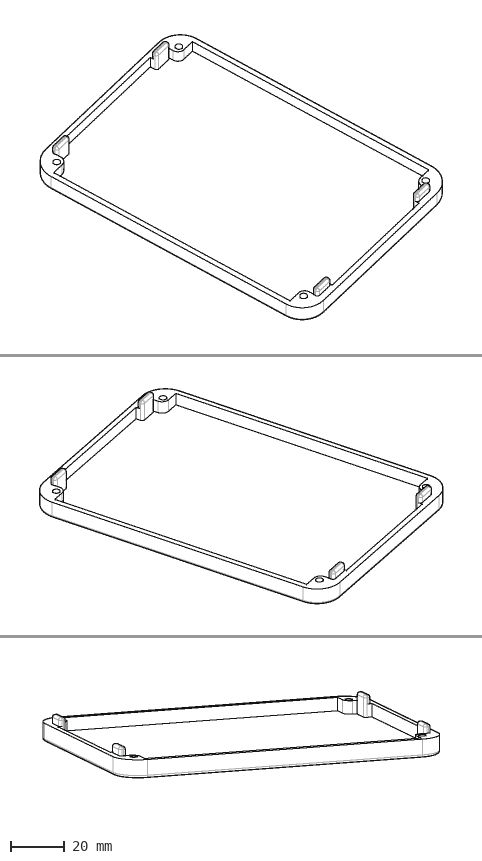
import cadquery as cq

length = 130.0
width = 90.0
rim_height = 7.0
corner_radius = 10.0
wall = 2.2
floor = 2.0
bottom_fillet = 1.0

post_length = 9.8
post_width = 10.3
post_radius = 2.9
hole_inset = 7.3
hole_diameter = 2.9

total_height = 10.4
tab_thickness = 2.6
tab_wall_gap = 0.5
tab_length = 8.0
tab_end_inset = 10.1
tab_fillet = 1.0

SIDES = (-1, 1)


def make_tray():
    """Rounded plate with a filleted lower edge and a rectangular pocket."""
    body = cq.Workplane("XY").rect(length, width).extrude(rim_height)
    body = body.edges("|Z").fillet(corner_radius)
    body = body.faces("<Z").edges().fillet(bottom_fillet)
    return body.cut(make_pocket())


def make_pocket():
    """Cavity inside the walls, leaving a rounded solid post in each corner."""
    depth = rim_height - floor
    pocket = (
        cq.Workplane("XY", origin=(0, 0, floor))
        .rect(length - 2 * wall, width - 2 * wall)
        .extrude(depth)
    )
    for x_side in SIDES:
        for y_side in SIDES:
            post = (
                cq.Workplane("XY", origin=(0, 0, floor))
                .center(x_side * (length - post_length) / 2, y_side * (width - post_width) / 2)
                .rect(post_length, post_width)
                .extrude(depth)
            )
            x_pick = ">X" if x_side < 0 else "<X"
            y_pick = ">Y" if y_side < 0 else "<Y"
            post = post.faces(x_pick).edges("|Z").edges(y_pick).fillet(post_radius)
            pocket = pocket.cut(post)
    return pocket


def make_tab(x_side, y_side):
    """Rounded upright tab beside a post, joined to the short wall by a root up to the rim."""
    x_center = x_side * (length / 2 - wall - tab_wall_gap - tab_thickness / 2)
    y_center = y_side * (width / 2 - tab_end_inset - tab_length / 2)
    tab_base = floor / 2
    tab = (
        cq.Workplane("XY", origin=(x_center, y_center, tab_base))
        .rect(tab_thickness, tab_length)
        .extrude(total_height - tab_base)
    )
    tab = tab.edges("|Z or >Z").fillet(tab_fillet)

    root_thickness = tab_thickness / 2 + tab_wall_gap + wall / 2
    root = (
        cq.Workplane("XY", origin=(x_center + x_side * root_thickness / 2, y_center, floor))
        .rect(root_thickness, tab_length)
        .extrude(rim_height - floor)
    )
    return tab.union(root)


result = make_tray()
for x_side in SIDES:
    for y_side in SIDES:
        result = result.union(make_tab(x_side, y_side))

hole_spacing_x = length - 2 * hole_inset
hole_spacing_y = width - 2 * hole_inset
holes = (
    cq.Workplane("XY")
    .rect(hole_spacing_x, hole_spacing_y, forConstruction=True)
    .vertices()
    .circle(hole_diameter / 2)
    .extrude(rim_height)
)
result = result.cut(holes)